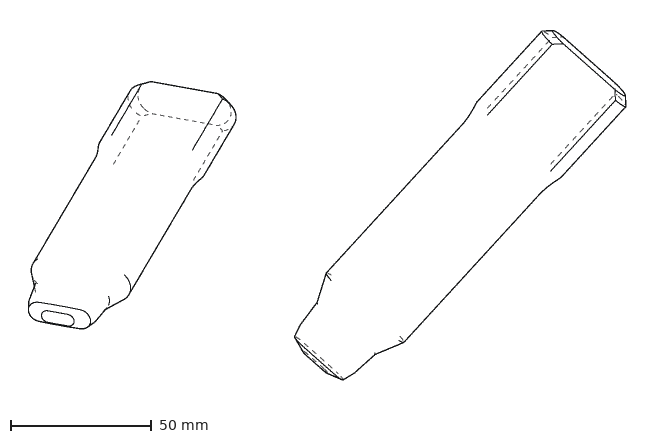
import cadquery as cq

LENGTH = 145.5
TIP_CAP_END = 1.9
TIP_BEVEL_END = 6.3
NECK_END = 16.5
SHOULDER_END = 26.5
BODY_END = 99.5
FLARE_START = 102.3
FLARE_MIDDLE = 105.3
HANDLE_START = 108.3
END_CHAMFER = 2.8

HANDLE_HALF_WIDTH = 20.2
HANDLE_HALF_FLAT = 15.1
HANDLE_HALF_HEIGHT = 6.8

BODY_HALF_WIDTH = 18.6
BODY_HALF_FLAT = 11.6
BODY_EDGE_HEIGHT = 7.0
BODY_CROWN_HEIGHT = 7.5

body = (BODY_HALF_WIDTH, BODY_HALF_FLAT, BODY_EDGE_HEIGHT, BODY_CROWN_HEIGHT)
handle = (HANDLE_HALF_WIDTH, HANDLE_HALF_FLAT, HANDLE_HALF_HEIGHT, HANDLE_HALF_HEIGHT)
handle_end = (
    HANDLE_HALF_WIDTH - END_CHAMFER,
    HANDLE_HALF_FLAT - END_CHAMFER,
    HANDLE_HALF_HEIGHT,
    HANDLE_HALF_HEIGHT,
)
SECTIONS = [
    (0.0, 6.1, 3.8, 2.5, 2.5),
    (TIP_CAP_END, 11.6, 7.7, 4.1, 4.2),
    (TIP_BEVEL_END, 13.0, 8.1, 4.8, 5.0),
    (NECK_END, 14.0, 8.1, 6.0, 6.3),
    (SHOULDER_END, *body),
    (BODY_END, *body),
    (FLARE_START, 18.9, 11.8, 7.0, 7.4),
    (FLARE_MIDDLE, 19.5, 12.7, 6.8, 7.0),
    (HANDLE_START, *handle),
    (LENGTH - END_CHAMFER, *handle),
    (LENGTH, *handle_end),
]


def broad_face_edge(wire, start_x, edge_z, crown_z):
    """Cross to the opposite X, straight when flat and as an arc when crowned."""
    if edge_z == crown_z:
        return wire.lineTo(-start_x, edge_z)
    return wire.threePointArc((0, crown_z), (-start_x, edge_z))


def section_wire(y, half_width, half_flat, edge_height, crown_height):
    """Closed outline with broad top and bottom faces and round sides."""
    wire = cq.Workplane("XZ", origin=(0, y, 0)).moveTo(-half_flat, edge_height)
    wire = broad_face_edge(wire, -half_flat, edge_height, crown_height)
    wire = wire.threePointArc((half_width, 0), (half_flat, -edge_height))
    wire = broad_face_edge(wire, half_flat, -edge_height, -crown_height)
    wire = wire.threePointArc((-half_width, 0), (-half_flat, edge_height))
    return wire.close().val()


wires = [section_wire(*section) for section in SECTIONS]
result = cq.Workplane(cq.Solid.makeLoft(wires, ruled=True))